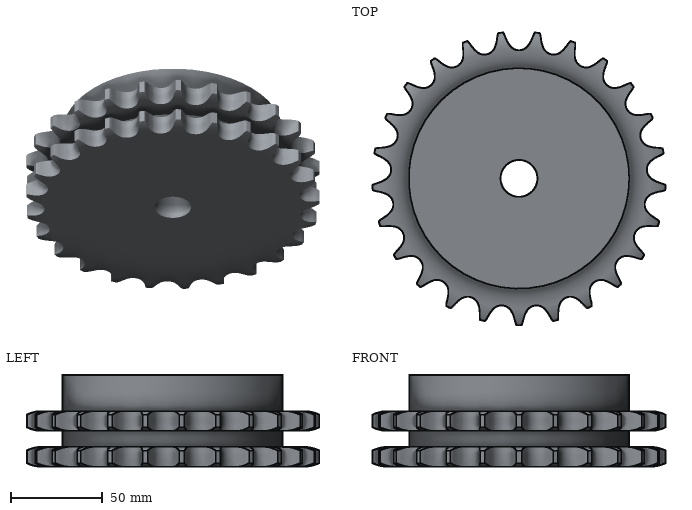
import cadquery as cq
import math

tooth_count = 25
pitch_diameter = 152.0
roller_diameter = 12.1
roller_clearance = 0.038
tip_diameter = 160.0

tooth_angle = 360 / tooth_count
seat_half_angle = 55 - 60 / tooth_count
working_sweep = 18 - 56 / tooth_count
straight_angle = 17 - 64 / tooth_count
seat_ratio = 0.5025
working_ratio = 1.3025
working_centre_ratio = 0.8
topping_centre_ratio = 1.4
topping_sweep = 20

plate_count = 2
plate_thickness = 10.9
plate_spacing = 19.5
side_relief_start_radius = 71.5
side_relief_arc_radius = 19.0

hub_diameter = 120.0
hub_height = 50.0
bore_diameter = 20.0

tip_radius = tip_diameter / 2
pitch_radius = pitch_diameter / 2
working_sweep_rad = math.radians(working_sweep)
straight_angle_rad = math.radians(straight_angle)
seat_radius = seat_ratio * roller_diameter + roller_clearance
working_radius = working_ratio * roller_diameter + roller_clearance
straight_length = roller_diameter * (
    topping_centre_ratio * math.sin(straight_angle_rad)
    - working_centre_ratio * math.sin(working_sweep_rad)
)
topping_radius = (
    roller_diameter * topping_centre_ratio * math.cos(straight_angle_rad)
    + roller_diameter * working_centre_ratio * math.cos(working_sweep_rad)
    - working_radius
)


def arc_point(centre, radius, angle):
    """Point at a radius from a centre, with the angle in degrees measured from -Y towards +X."""
    turn = math.radians(angle)
    return (centre[0] + radius * math.sin(turn), centre[1] - radius * math.cos(turn))


def mirrored(point):
    """The same point on the other side of the gap's centre line."""
    return (-point[0], point[1])


def tooth_gap():
    """Cutter for the gap centred on +Y.

    From the gap's middle, each side runs through the roller seat, a concave working curve,
    a short straight and a convex topping curve, each tangent to the one before.
    """
    seat_centre = (0, pitch_radius)
    seat_bottom = arc_point(seat_centre, seat_radius, 0)
    seat_end = arc_point(seat_centre, seat_radius, seat_half_angle)

    working_centre = arc_point(seat_end, -working_radius, seat_half_angle)
    working_end_angle = seat_half_angle + working_sweep
    working_middle = arc_point(working_centre, working_radius, seat_half_angle + working_sweep / 2)
    working_end = arc_point(working_centre, working_radius, working_end_angle)

    straight_end = arc_point(working_end, straight_length, working_end_angle + 90)

    topping_centre = arc_point(straight_end, topping_radius, working_end_angle)
    topping_middle = arc_point(topping_centre, -topping_radius, working_end_angle - topping_sweep / 2)
    topping_end = arc_point(topping_centre, -topping_radius, working_end_angle - topping_sweep)

    return (
        cq.Workplane("XY")
        .moveTo(*mirrored(topping_end))
        .threePointArc(mirrored(topping_middle), mirrored(straight_end))
        .lineTo(*mirrored(working_end))
        .threePointArc(mirrored(working_middle), mirrored(seat_end))
        .threePointArc(seat_bottom, seat_end)
        .threePointArc(working_middle, working_end)
        .lineTo(*straight_end)
        .threePointArc(topping_middle, topping_end)
        .close()
        .extrude(plate_thickness)
    )


def plate_blank():
    """Disc whose two faces curve towards each other near the tip circle."""
    relief_width = tip_radius - side_relief_start_radius

    def relief_depth(width):
        return side_relief_arc_radius - math.sqrt(side_relief_arc_radius**2 - width**2)

    middle_radius = side_relief_start_radius + relief_width / 2
    middle_depth = relief_depth(relief_width / 2)
    tip_depth = relief_depth(relief_width)
    return (
        cq.Workplane("XZ")
        .lineTo(side_relief_start_radius, 0)
        .threePointArc((middle_radius, middle_depth), (tip_radius, tip_depth))
        .lineTo(tip_radius, plate_thickness - tip_depth)
        .threePointArc(
            (middle_radius, plate_thickness - middle_depth),
            (side_relief_start_radius, plate_thickness),
        )
        .lineTo(0, plate_thickness)
        .close()
        .revolve(360, (0, 0, 0), (0, 1, 0))
    )


def toothed_plate():
    plate = plate_blank()
    gap = tooth_gap()
    for index in range(tooth_count):
        plate = plate.cut(gap.rotate((0, 0, 0), (0, 0, 1), index * tooth_angle))
    return plate


result = cq.Workplane("XY").circle(hub_diameter / 2).extrude(hub_height)
plate = toothed_plate()
for level in range(plate_count):
    result = result.union(plate.translate((0, 0, level * plate_spacing)))

bore = cq.Workplane("XY").circle(bore_diameter / 2).extrude(hub_height)
result = result.cut(bore)